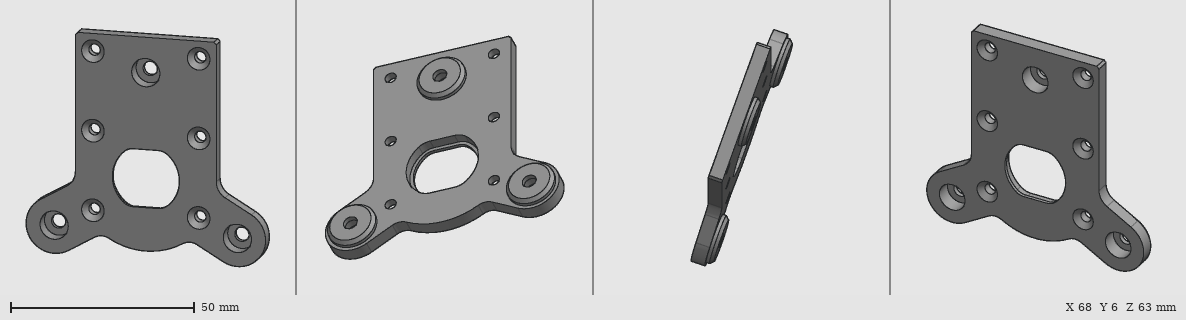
import cadquery as cq
import math

PLATE_THICKNESS = 4.0
PLATE_HALF_WIDTH = 20.0
PLATE_TOP = 40.0
TOP_CORNER_CHAMFER = 0.7
HUB_RADIUS = 20.5
SIDE_BLEND_RADIUS = 5.0
HUB_BLEND_RADIUS = 4.0

ARM_RADIUS = 8.0
ARM_TILT = math.radians(30)

MOUNT_CIRCLE_RADIUS = 30.0
BOSS_DIAMETER = 14.0
BOSS_HEIGHT = 2.0
BOSS_CHAMFER = 1.0
MOUNT_HOLE_DIAMETER = 4.0
MOUNT_BORE_DIAMETER = 8.0
MOUNT_BORE_DEPTH = 4.5

OPENING_RADIUS = 9.5
OPENING_HALF_HEIGHT = 8.2
OPENING_CORNER_RADIUS = 4.0
OPENING_LIP = 1.0
OPENING_STEP = 1.0

SCREW_COLUMN_X = 15.0
SCREW_ROWS_Z = (35.0, 12.5, -10.0)
SCREW_DIAMETER = 3.2
COUNTERSINK_DIAMETER = 6.4
COUNTERSINK_DEPTH = (COUNTERSINK_DIAMETER - SCREW_DIAMETER) / 2

ARM_END_X = MOUNT_CIRCLE_RADIUS * math.cos(ARM_TILT)
ARM_END_Z = -MOUNT_CIRCLE_RADIUS * math.sin(ARM_TILT)
MOUNT_POINTS = [(0, MOUNT_CIRCLE_RADIUS), (-ARM_END_X, ARM_END_Z), (ARM_END_X, ARM_END_Z)]
SCREW_POINTS = [(side * SCREW_COLUMN_X, z) for side in (-1, 1) for z in SCREW_ROWS_Z]


def section_plane(y):
    """Plane at depth y whose local axes are X and Z and whose normal is -Y."""
    return cq.Workplane("XZ", origin=(0, y, 0))


def rod(x, z, diameter, y_start, y_end):
    """Cylinder along +Y, from y_start to y_end."""
    return section_plane(y_start).center(x, z).circle(diameter / 2).extrude(y_start - y_end)


def box_on_plate(half_width, z_low, z_high, thickness):
    """Block centred on X, standing on the front face plane."""
    height = z_high - z_low
    outline = section_plane(0).center(0, (z_low + z_high) / 2).rect(2 * half_width, height)
    return outline.extrude(-thickness)


def make_arm(side):
    """Arm with parallel edges from the motor axis to a rounded end."""
    end_x = side * ARM_END_X
    edge_x = side * ARM_RADIUS * math.sin(ARM_TILT)
    edge_z = ARM_RADIUS * math.cos(ARM_TILT)
    bar = (
        section_plane(0)
        .moveTo(edge_x, edge_z)
        .lineTo(end_x + edge_x, ARM_END_Z + edge_z)
        .lineTo(end_x - edge_x, ARM_END_Z - edge_z)
        .lineTo(-edge_x, -edge_z)
        .close()
        .extrude(-PLATE_THICKNESS)
    )
    return bar.union(rod(end_x, ARM_END_Z, 2 * ARM_RADIUS, 0, PLATE_THICKNESS))


def edges_at(points):
    """Selector for the plate's thickness edges standing at the given (x, z) points."""
    reach = 0.1
    selector = None
    for x, z in points:
        box = cq.selectors.BoxSelector(
            (x - reach, 0, z - reach), (x + reach, PLATE_THICKNESS, z + reach)
        )
        selector = box if selector is None else selector + box
    return selector


def make_plate():
    hub = rod(0, 0, 2 * HUB_RADIUS, 0, PLATE_THICKNESS)
    hub = hub.intersect(box_on_plate(PLATE_HALF_WIDTH, -HUB_RADIUS, 0, PLATE_THICKNESS))
    plate = box_on_plate(PLATE_HALF_WIDTH, 0, PLATE_TOP, PLATE_THICKNESS).union(hub)
    for side in (-1, 1):
        plate = plate.union(make_arm(side))
    plate = plate.clean()

    side_corner_z = ARM_RADIUS / math.cos(ARM_TILT) - PLATE_HALF_WIDTH * math.tan(ARM_TILT)
    hub_corner_angle = ARM_TILT + math.asin(ARM_RADIUS / HUB_RADIUS)
    hub_corner_x = HUB_RADIUS * math.cos(hub_corner_angle)
    hub_corner_z = -HUB_RADIUS * math.sin(hub_corner_angle)
    side_corners = [(side * PLATE_HALF_WIDTH, side_corner_z) for side in (-1, 1)]
    hub_corners = [(side * hub_corner_x, hub_corner_z) for side in (-1, 1)]
    top_corners = [(side * PLATE_HALF_WIDTH, PLATE_TOP) for side in (-1, 1)]
    plate = plate.edges(edges_at(side_corners)).fillet(SIDE_BLEND_RADIUS)
    plate = plate.edges(edges_at(hub_corners)).fillet(HUB_BLEND_RADIUS)
    return plate.edges(edges_at(top_corners)).chamfer(TOP_CORNER_CHAMFER)


def flattened_disc(growth, y_start, y_end):
    """Disc cut by two flats with rounded corners, its outline grown outwards by growth."""
    radius = OPENING_RADIUS + growth
    half_height = OPENING_HALF_HEIGHT + growth
    disc = rod(0, 0, 2 * radius, y_start, y_end)
    band = box_on_plate(radius, -half_height, half_height, PLATE_THICKNESS)
    corner_x = math.sqrt(radius**2 - half_height**2)
    corners = [(sx * corner_x, sz * half_height) for sx in (-1, 1) for sz in (-1, 1)]
    return disc.intersect(band).edges(edges_at(corners)).fillet(OPENING_CORNER_RADIUS + growth)


def make_opening():
    """Opening through a thin front lip, wider behind it."""
    through = flattened_disc(0, 0, PLATE_THICKNESS)
    return through.union(flattened_disc(OPENING_STEP, OPENING_LIP, PLATE_THICKNESS))


def make_boss(x, z):
    boss = rod(x, z, BOSS_DIAMETER, PLATE_THICKNESS, PLATE_THICKNESS + BOSS_HEIGHT)
    return boss.faces(">Y").chamfer(BOSS_CHAMFER)


def make_mount_hole(x, z):
    hole = rod(x, z, MOUNT_HOLE_DIAMETER, 0, PLATE_THICKNESS + BOSS_HEIGHT)
    return hole.union(rod(x, z, MOUNT_BORE_DIAMETER, 0, MOUNT_BORE_DEPTH))


def make_screw_hole(x, z):
    sink = (
        section_plane(0)
        .center(x, z)
        .circle(COUNTERSINK_DIAMETER / 2)
        .workplane(offset=-COUNTERSINK_DEPTH)
        .circle(SCREW_DIAMETER / 2)
        .loft()
    )
    return sink.union(rod(x, z, SCREW_DIAMETER, 0, PLATE_THICKNESS))


result = make_plate().cut(make_opening())
for point in MOUNT_POINTS:
    result = result.union(make_boss(*point))
for point in MOUNT_POINTS:
    result = result.cut(make_mount_hole(*point))
for point in SCREW_POINTS:
    result = result.cut(make_screw_hole(*point))